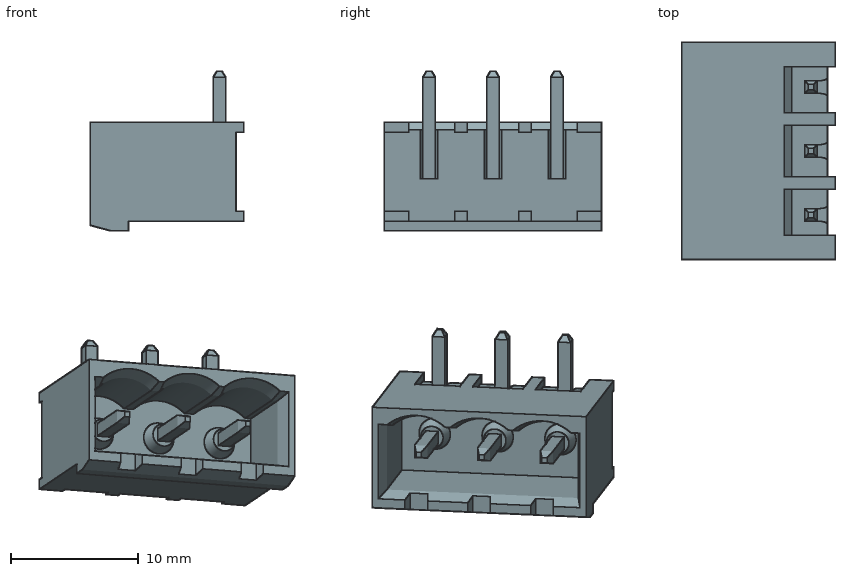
import cadquery as cq
import math


LENGTH_Y = 17.0
DEPTH_X = 12.0
HOUSING_HEIGHT = 8.5
PITCH = 5.0
PIN_ROWS = (-PITCH, 0.0, PITCH)
DRAFT_ANGLE = 15
DRAFT_SLOPE = math.tan(math.radians(DRAFT_ANGLE))

FOOT_HEIGHT = 0.75
FOOT_LENGTH = 3.0
FOOT_BEVEL_LENGTH = 1.6
FOOT_BEVEL_RISE = FOOT_BEVEL_LENGTH * DRAFT_SLOPE
LIP_REACH = 0.6
LIP_THICKNESS = 0.8
REAR_FACE_X = DEPTH_X - LIP_REACH

PIN_WIDTH = 1.0
PIN_AXIS_Z = 4.59
PIN_TIP_WIDTH = 0.4
CONTACT_TIP_X = 1.05
CONTACT_TAPER = 1.0
SOLDER_PIN_X = 10.1
SOLDER_PIN_HEIGHT = 4.0
SOLDER_PIN_TAPER = 0.5

WALL = 0.5
SOCKET_DEPTH = 7.99
LEAD_IN_LENGTH = 1.5
LEAD_IN_FLARE = LEAD_IN_LENGTH * DRAFT_SLOPE
MOUTH_HALF_WIDTH = LENGTH_Y / 2 - WALL
MOUTH_BOTTOM_Z = 1.15
MOUTH_SHOULDER_DROP = 1.35
MOUTH_SHOULDER_Z = HOUSING_HEIGHT - MOUTH_SHOULDER_DROP
MOUTH_ARCH_RADIUS = 3.5
ARCH_CENTRE_Z = HOUSING_HEIGHT - WALL - MOUTH_ARCH_RADIUS

COLLAR_BASE_RADIUS = 1.24
COLLAR_TOP_RADIUS = 0.88
COLLAR_HEIGHT = 1.19

NOTCH_DEPTH = 1.1
NOTCH_FRONT_WIDTH = 1.8
NOTCH_BACK_WIDTH = 1.4

POCKET_START_X = 8.02
POCKET_DEPTH = 0.6
RIB_WIDTH = 1.0
END_BLOCK_WIDTH = 1.92
POCKET_END_Y = LENGTH_Y / 2 - END_BLOCK_WIDTH
SLOT_FLARE = 0.17
SLOT_FLARE_LENGTH = 0.58
SLOT_FLARE_RADIUS = (SLOT_FLARE_LENGTH**2 + SLOT_FLARE**2) / (2 * SLOT_FLARE)


def make_housing():
    """Side profile with the bevelled foot and the two rear lips, extruded along the row."""
    profile = [
        (0, HOUSING_HEIGHT),
        (DEPTH_X, HOUSING_HEIGHT),
        (DEPTH_X, HOUSING_HEIGHT - LIP_THICKNESS),
        (REAR_FACE_X, HOUSING_HEIGHT - LIP_THICKNESS),
        (REAR_FACE_X, FOOT_HEIGHT + LIP_THICKNESS),
        (DEPTH_X, FOOT_HEIGHT + LIP_THICKNESS),
        (DEPTH_X, FOOT_HEIGHT),
        (FOOT_LENGTH, FOOT_HEIGHT),
        (FOOT_LENGTH, 0),
        (FOOT_BEVEL_LENGTH, 0),
        (0, FOOT_BEVEL_RISE),
    ]
    return cq.Workplane("XZ").polyline(profile).close().extrude(LENGTH_Y / 2, both=True)


def socket_outline(x, inset):
    """Socket section at depth x: a box with one arch over each contact, shrunk by inset."""
    half_width = MOUTH_HALF_WIDTH - inset
    bottom = MOUTH_BOTTOM_Z + inset
    shoulder = MOUTH_SHOULDER_Z - inset
    radius = MOUTH_ARCH_RADIUS - inset
    half_chord = math.sqrt(radius**2 - (shoulder - ARCH_CENTRE_Z) ** 2)
    outline = cq.Workplane("YZ", origin=(x, 0, 0)).moveTo(-half_width, bottom)
    outline = outline.lineTo(-half_width, shoulder)
    for y in PIN_ROWS:
        outline = outline.lineTo(y - half_chord, shoulder)
        outline = outline.threePointArc((y, ARCH_CENTRE_Z + radius), (y + half_chord, shoulder))
    return outline.lineTo(half_width, shoulder).lineTo(half_width, bottom).close()


def make_socket():
    """Cavity for the mating plug: the flared lead-in joined to the straight part behind it."""
    mouth = socket_outline(0, 0).val()
    throat = socket_outline(LEAD_IN_LENGTH, LEAD_IN_FLARE).val()
    lead_in = cq.Solid.makeLoft([mouth, throat], True)
    straight = socket_outline(LEAD_IN_LENGTH, LEAD_IN_FLARE).extrude(SOCKET_DEPTH - LEAD_IN_LENGTH)
    return straight.union(cq.Workplane(lead_in))


def make_collar(y):
    """Cone that narrows from the socket's back wall towards the mating face."""
    return cq.Workplane(
        cq.Solid.makeCone(
            COLLAR_BASE_RADIUS,
            COLLAR_TOP_RADIUS,
            COLLAR_HEIGHT,
            cq.Vector(SOCKET_DEPTH, y, PIN_AXIS_Z),
            cq.Vector(-1, 0, 0),
        )
    )


def make_notch(y):
    """Trapezoidal notch, cut right through the socket floor under one contact."""
    plan = [
        (0, y - NOTCH_FRONT_WIDTH / 2),
        (NOTCH_DEPTH, y - NOTCH_BACK_WIDTH / 2),
        (NOTCH_DEPTH, y + NOTCH_BACK_WIDTH / 2),
        (0, y + NOTCH_FRONT_WIDTH / 2),
    ]
    return cq.Workplane("XY").polyline(plan).close().extrude(PIN_AXIS_Z)


def make_pocket(y):
    """Pocket round one solder pin, with a 45 degree front slope and a gap through both rear lips."""
    floor_z = HOUSING_HEIGHT - POCKET_DEPTH
    y_low = max(y - (PITCH - RIB_WIDTH) / 2, -POCKET_END_Y)
    y_high = min(y + (PITCH - RIB_WIDTH) / 2, POCKET_END_Y)
    profile = [
        (POCKET_START_X, HOUSING_HEIGHT),
        (DEPTH_X, HOUSING_HEIGHT),
        (DEPTH_X, FOOT_HEIGHT),
        (REAR_FACE_X, FOOT_HEIGHT),
        (REAR_FACE_X, floor_z),
        (POCKET_START_X + POCKET_DEPTH, floor_z),
    ]
    plane = cq.Workplane("XZ", origin=(0, y_high, 0))
    return plane.polyline(profile).close().extrude(y_high - y_low)


def make_slot(y):
    """Slot behind one solder pin, open to the rear, flaring in an arc at its mouth."""
    half_width = PIN_WIDTH / 2
    mouth_half_width = half_width + SLOT_FLARE
    flare_start_x = REAR_FACE_X - SLOT_FLARE_LENGTH
    bottom_z = PIN_AXIS_Z - PIN_WIDTH / 2
    plan = (
        cq.Workplane("XY", origin=(0, y, bottom_z))
        .moveTo(SOLDER_PIN_X, -half_width)
        .lineTo(flare_start_x, -half_width)
        .radiusArc((REAR_FACE_X, -mouth_half_width), SLOT_FLARE_RADIUS)
        .lineTo(REAR_FACE_X, mouth_half_width)
        .radiusArc((flare_start_x, half_width), SLOT_FLARE_RADIUS)
        .lineTo(SOLDER_PIN_X, half_width)
        .close()
    )
    return plan.extrude(HOUSING_HEIGHT - POCKET_DEPTH - bottom_z)


def make_leg(plane, length, taper):
    """Square bar along the plane's normal, ending in a blunt pyramid."""
    bar = cq.Workplane(plane).rect(PIN_WIDTH, PIN_WIDTH).extrude(length - taper)
    tip = (
        cq.Workplane(plane)
        .workplane(offset=length - taper)
        .rect(PIN_WIDTH, PIN_WIDTH)
        .workplane(offset=taper)
        .rect(PIN_TIP_WIDTH, PIN_TIP_WIDTH)
        .loft(ruled=True)
    )
    return bar.union(tip)


def make_pin(y):
    """Right-angle pin: a contact leg towards -X and a solder leg towards +Z."""
    contact_start = (SOLDER_PIN_X + PIN_WIDTH / 2, y, PIN_AXIS_Z)
    contact_plane = cq.Plane(origin=contact_start, xDir=(0, 1, 0), normal=(-1, 0, 0))
    contact = make_leg(contact_plane, contact_start[0] - CONTACT_TIP_X, CONTACT_TAPER)
    solder_plane = cq.Plane(origin=(SOLDER_PIN_X, y, PIN_AXIS_Z))
    solder_length = HOUSING_HEIGHT + SOLDER_PIN_HEIGHT - PIN_AXIS_Z
    return contact.union(make_leg(solder_plane, solder_length, SOLDER_PIN_TAPER))


result = make_housing().cut(make_socket())
for row_y in PIN_ROWS:
    result = result.cut(make_notch(row_y)).cut(make_pocket(row_y)).cut(make_slot(row_y))
    result = result.union(make_collar(row_y)).union(make_pin(row_y))